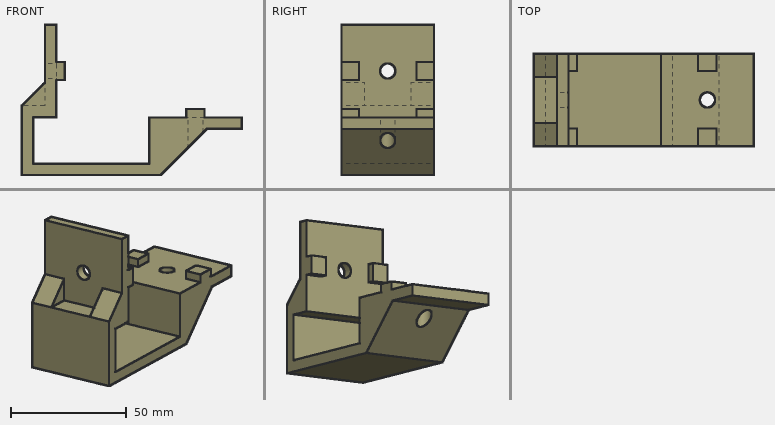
import cadquery as cq

length = 95.0
thickness = length / 19
width = 8 * thickness
height = 13 * thickness

channel_span = 10 * thickness
channel_depth = 4 * thickness
channel_end = thickness + channel_span
flange_top = thickness + channel_depth
flange_bottom = flange_top - thickness

upright_outer = 2 * thickness
upright_inner = upright_outer + thickness
shelf_top = flange_top + thickness
gusset_width = 2 * thickness
gusset_top = shelf_top + upright_outer

slope_start = channel_end + thickness
slope_end = slope_start + flange_bottom

tab_length = 8.0
tab_width = 7.6
tab_height = 3.6
hole_diameter = 6.5
flange_hole_x = 15 * thickness
upright_hole_z = 9 * thickness


def make_body():
    """Extrude the side profile across the full width, centred on Y."""
    profile = [
        (0, 0),
        (slope_start, 0),
        (slope_end, flange_bottom),
        (length, flange_bottom),
        (length, flange_top),
        (channel_end, flange_top),
        (channel_end, thickness),
        (thickness, thickness),
        (thickness, flange_top),
        (upright_inner, flange_top),
        (upright_inner, height),
        (upright_outer, height),
        (upright_outer, gusset_top),
        (0, shelf_top),
    ]
    return cq.Workplane("XZ").polyline(profile).close().extrude(width / 2, both=True)


def make_gusset_gap():
    """Space between the two gussets, above the shelf and outside the upright."""
    return cq.Workplane("XY").box(
        upright_outer, width - 2 * gusset_width, gusset_top - shelf_top, centered=(False, True, False)
    ).translate((0, 0, shelf_top))


def make_tabs():
    """Pairs of tabs at the side edges of the flange and of the upright."""
    tabs = cq.Workplane("XY")
    for side in (-1, 1):
        tab_y = side * (width - tab_width) / 2
        flange_tab = cq.Workplane("XY").box(tab_length, tab_width, tab_height)
        upright_tab = cq.Workplane("XY").box(tab_height, tab_width, tab_length)
        tabs = tabs.add(flange_tab.translate((flange_hole_x, tab_y, flange_top + tab_height / 2)))
        tabs = tabs.add(upright_tab.translate((upright_inner + tab_height / 2, tab_y, upright_hole_z)))
    return tabs.combine()


def make_holes():
    """Cutters for the vertical flange hole and the horizontal upright hole."""
    radius = hole_diameter / 2
    flange_hole = cq.Workplane("XY").center(flange_hole_x, 0).circle(radius).extrude(flange_top)
    upright_hole = cq.Workplane("YZ").center(0, upright_hole_z).circle(radius).extrude(upright_inner)
    return flange_hole.add(upright_hole).combine()


result = make_body().cut(make_gusset_gap()).union(make_tabs()).cut(make_holes())